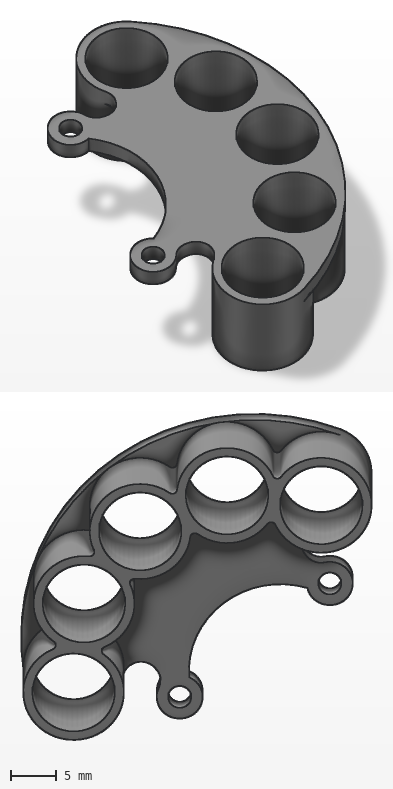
import cadquery as cq
import math

length = 45.65
height = 10.6
plate_thickness = 2.0

bore_radius = 4.495
tube_radius = 5.5
tube_angles = [30, 60, 90, 120, 150]
junction_radius = 0.5
end_tube_x = length / 2 - tube_radius
pitch_radius = end_tube_x / math.cos(math.radians(tube_angles[0]))

lug_x = 10.5
lug_radius = 2.5
lug_hole_radius = 1.255

notch_radius = 2.0
cutout_radius = 10.0
cutout_center = (0, -4.5)
rim_radius = pitch_radius + tube_radius


def polar(radius, angle):
    a = math.radians(angle)
    return (radius * math.cos(a), radius * math.sin(a))


def circle_crossing(c1, r1, c2, r2):
    """Crossing of two circles that lies to the left when going from c1 to c2."""
    dx = c2[0] - c1[0]
    dy = c2[1] - c1[1]
    distance = math.hypot(dx, dy)
    along = (r1**2 - r2**2 + distance**2) / (2 * distance)
    across = math.sqrt(r1**2 - along**2)
    return (
        c1[0] + (along * dx - across * dy) / distance,
        c1[1] + (along * dy + across * dx) / distance,
    )


def height_on_circle(center, radius, x, side):
    """Y of a circle at x, on its upper (side 1) or lower (side -1) half."""
    return center[1] + side * math.sqrt(radius**2 - (x - center[0]) ** 2)


def midpoint(p, q):
    return ((p[0] + q[0]) / 2, (p[1] + q[1]) / 2)


def toward(start, target, distance):
    """Point at a given distance from start, on the line to target."""
    ratio = distance / math.dist(start, target)
    return (
        start[0] + ratio * (target[0] - start[0]),
        start[1] + ratio * (target[1] - start[1]),
    )


def mirrored(point):
    return (-point[0], point[1])


tube_centers = [polar(pitch_radius, angle) for angle in tube_angles]
lug_center = (lug_x, 0)
lug_centers = [lug_center, mirrored(lug_center)]


def make_plate():
    """Fan-shaped plate, flush with the tops of the tubes, carrying two lugs."""
    end_tube = tube_centers[0]
    round_x = lug_x + notch_radius
    upper_round = (round_x, height_on_circle(end_tube, tube_radius + notch_radius, round_x, -1))
    lower_round = (round_x, height_on_circle(lug_center, lug_radius + notch_radius, round_x, 1))
    rim_end = polar(rim_radius, tube_angles[0])
    tube_to_round = toward(end_tube, upper_round, tube_radius)
    straight_top = (lug_x, upper_round[1])
    upper_middle = toward(upper_round, midpoint(straight_top, tube_to_round), notch_radius)
    straight_bottom = (lug_x, lower_round[1])
    round_to_lug = toward(lug_center, lower_round, lug_radius)
    lower_middle = toward(lower_round, midpoint(straight_bottom, round_to_lug), notch_radius)
    lug_bottom = (lug_x, -lug_radius)
    lug_to_cutout = circle_crossing(cutout_center, cutout_radius, lug_center, lug_radius)
    cutout_top = (0, cutout_center[1] + cutout_radius)

    return (
        cq.Workplane("XY", origin=(0, 0, height - plate_thickness))
        .moveTo(*mirrored(rim_end))
        .threePointArc((0, rim_radius), rim_end)
        .lineTo(*tube_to_round)
        .threePointArc(upper_middle, straight_top)
        .lineTo(*straight_bottom)
        .threePointArc(lower_middle, round_to_lug)
        .threePointArc(lug_bottom, lug_to_cutout)
        .threePointArc(cutout_top, mirrored(lug_to_cutout))
        .threePointArc(mirrored(lug_bottom), mirrored(round_to_lug))
        .threePointArc(mirrored(lower_middle), mirrored(straight_bottom))
        .lineTo(*mirrored(straight_top))
        .threePointArc(mirrored(upper_middle), mirrored(tube_to_round))
        .close()
        .extrude(plate_thickness)
    )


def make_cylinders(centers, radius):
    """Full-height cylinders, joined one by one because neighbours overlap."""
    cylinders = cq.Workplane("XY")
    for center in centers:
        cylinders = cylinders.union(cq.Workplane("XY").center(*center).circle(radius).extrude(height))
    return cylinders


def make_tube_row():
    """Solid tube cylinders with the grooves between neighbours rounded."""
    row = make_cylinders(tube_centers, tube_radius)
    for first, second in zip(tube_centers, tube_centers[1:]):
        for start, end in [(first, second), (second, first)]:
            x, y = circle_crossing(start, tube_radius, end, tube_radius)
            groove = cq.selectors.NearestToPointSelector((x, y, height / 2))
            row = row.edges(groove).fillet(junction_radius)
    return row


result = (
    make_plate()
    .union(make_tube_row())
    .cut(make_cylinders(tube_centers, bore_radius))
    .cut(make_cylinders(lug_centers, lug_hole_radius))
)